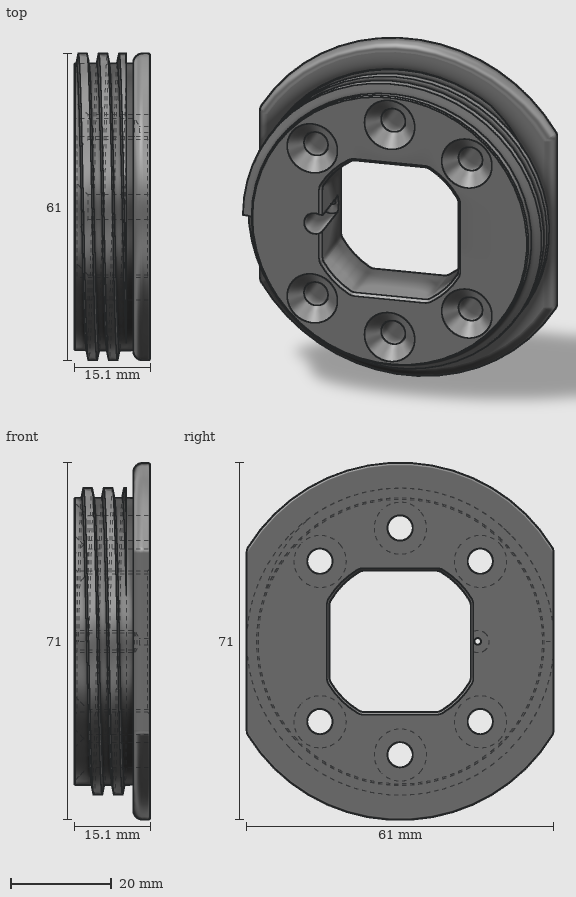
import cadquery as cq
import math

flange_radius = 35.5
flange_width = 61.0
half_width = flange_width / 2
total_length = 15.1
flange_thickness = 3.4
flange_front_fillet = 2.0
flange_corner_fillet = flange_front_fillet
flange_back_fillet = 0.5

body_radius = 28.55
body_edge_chamfer = 0.3
thread_crest_radius = half_width
thread_pitch = 4.05
thread_turns = 2.5
thread_start = 1.7
thread_root_width = 2.5
thread_crest_width = 1.7
thread_end = 10.4
thread_overlap = 0.6

opening_width = 28.0
opening_corner_radius = 16.0
opening_fillet = 2.0
opening_chamfer = 0.6

screw_circle_radius = 22.5
screw_hole_diameter = 5.0
screw_head_diameter = 10.4
screw_head_angle = 90
screw_angles = (45, 90, 135, 225, 270, 315)

bore_offset = 15.4
bore_radius = 2.2
bore_depth = 12.0
bore_tip_angle = 118
pilot_radius = 0.65


def plane_at(x):
    """Workplane across the part axis: local x is +Y, local y is +Z, normal is +X."""
    return cq.Workplane(cq.Plane(origin=(x, 0, 0), xDir=(0, 1, 0), normal=(1, 0, 0)))


def make_flange():
    start = plane_at(total_length - flange_thickness)
    disc = start.circle(flange_radius).extrude(flange_thickness)
    band = start.rect(2 * half_width, 2 * flange_radius).extrude(flange_thickness)
    flange = disc.intersect(band)

    corner_height = math.sqrt(flange_radius**2 - half_width**2)
    middle = total_length - flange_thickness / 2
    for y in (-half_width, half_width):
        for z in (-corner_height, corner_height):
            corner = cq.selectors.NearestToPointSelector((middle, y, z))
            flange = flange.edges("|X").edges(corner).fillet(flange_corner_fillet)

    flange = flange.faces("<X").edges().fillet(flange_front_fillet)
    return flange.faces(">X").edges().fillet(flange_back_fillet)


def make_body():
    body = plane_at(0).circle(body_radius).extrude(total_length - flange_thickness / 2)
    return body.faces("<X").edges().chamfer(body_edge_chamfer)


def make_thread():
    helix = cq.Wire.makeHelix(thread_pitch, thread_turns * thread_pitch, body_radius)
    flank_slope = (thread_root_width - thread_crest_width) / 2 / (thread_crest_radius - body_radius)
    inner = body_radius - thread_overlap
    inner_half = thread_root_width / 2 + flank_slope * thread_overlap
    crest_half = thread_crest_width / 2
    profile = (
        cq.Workplane("XZ")
        .moveTo(inner, -inner_half)
        .lineTo(thread_crest_radius, -crest_half)
        .lineTo(thread_crest_radius, crest_half)
        .lineTo(inner, inner_half)
        .close()
    )
    ridge = profile.sweep(cq.Workplane(helix), isFrenet=True).val()
    thread = cq.Workplane(ridge.moved(cq.Location(plane_at(thread_start).plane)))

    kept_length = plane_at(0).circle(flange_radius).extrude(thread_end)
    return thread.intersect(kept_length)


def cut_opening(part):
    square = plane_at(0).rect(opening_width, opening_width).extrude(total_length)
    circle = plane_at(0).circle(opening_corner_radius).extrude(total_length)
    part = part.cut(square.intersect(circle).edges("|X").fillet(opening_fillet))
    for end_face in ("<X", ">X"):
        rim = part.faces(end_face).val().innerWires()[0]
        part = part.newObject(rim.Edges()).chamfer(opening_chamfer)
    return part


def make_bore():
    tip_length = bore_radius / math.tan(math.radians(bore_tip_angle / 2))
    bore = (
        cq.Workplane("XY")
        .lineTo(0, bore_radius)
        .lineTo(bore_depth, bore_radius)
        .lineTo(bore_depth + tip_length, 0)
        .close()
        .revolve(360, (0, 0, 0), (1, 0, 0))
    )
    pilot = plane_at(0).circle(pilot_radius).extrude(total_length)
    return bore.union(pilot).translate((0, bore_offset, 0))


def cut_screw_holes(part):
    points = []
    for degrees in screw_angles:
        angle = math.radians(degrees)
        points.append((screw_circle_radius * math.cos(angle), screw_circle_radius * math.sin(angle)))
    front = cq.Workplane(cq.Plane(origin=(0, 0, 0), xDir=(0, -1, 0), normal=(-1, 0, 0)))
    return (
        part.copyWorkplane(front)
        .pushPoints(points)
        .cskHole(screw_hole_diameter, screw_head_diameter, screw_head_angle)
    )


blank = make_flange().union(make_body()).union(make_thread())
result = cut_screw_holes(cut_opening(blank).cut(make_bore()))